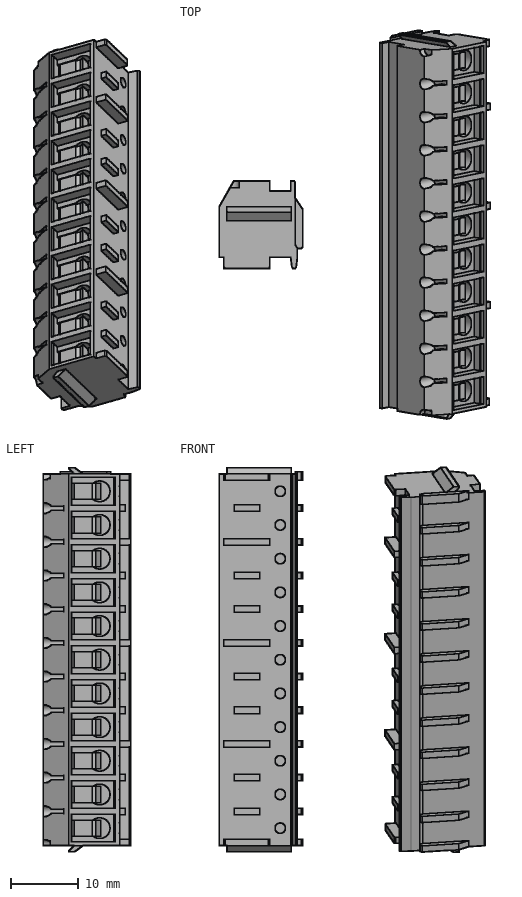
import cadquery as cq


total_height = 57.0
depth = 13.0
width = 12.4
hook_height = 0.9
body_bottom = hook_height
body_top = total_height - hook_height

pole_count = 11
pole_row_length = 50.0
pitch = pole_row_length / (pole_count - 1)
mid_height = total_height / 2
pole_heights = [mid_height + (i - (pole_count - 1) / 2) * pitch for i in range(pole_count)]
joint_heights = [z + pitch / 2 for z in pole_heights[:-1]]

front_y = 1.65
slope_start_y = 9.2
slope_end_x = 2.15
block_x = 7.5
back_notch_y = 11.5
flange_x = 10.6
flange_back_x = 11.3
flange_foot_x = 11.6
flange_step_y = 2.95
flange_bend_y = 3.55
foot_bevel_y = 0.2
foot_bevel_x = (10.8, 11.45)
foot_tip_x = (10.95, 11.3)
flange_corner = 0.15

rib_thickness = 0.95
long_rib_x = (0.7, block_x)
long_rib_interval = 3
short_rib_x = (2.2, 6.05)
short_rib_projection = 0.85
end_rib_chamfer = 0.2
tab_slope_y = (8.8, 10.5)
tab_chamfer = 0.2
top_tab_rise = 0.35

test_hole_x = 9.05
test_hole_diameter = 1.55
test_hole_depth = 1.7

window_height = 4.1
window_y = (2.3, 8.85)
window_inner_y = (2.5, 8.8)
window_step_depth = 0.55
window_depth = 1.7
wire_hole_y = 4.6
wire_hole_diameter = 3.1
cavity_floor_x = 3.4
clamp_height = 2.4
clamp_inset = 0.1
clamp_tip_y = 4.45
clamp_valley_y = 5.2
clamp_bend_y = 5.7
clamp_flat_y = 8.4
clamp_face_x = window_depth + clamp_inset
clamp_valley_x = 2.15

bore_x = 2.2
bore_diameter = 1.6
bore_floor_y = 9.9
end_bore_floor_y = 11.95
slot_width = 0.6

hook_x = (1.15, 10.7)
hook_root_y = (7.05, 8.45)
hook_tip_y = (8.3, 9.2)
hook_tip_thickness = 0.15


def box(x, y, z):
    """Box spanning the given (low, high) limits on each axis."""
    return cq.Workplane("XY").box(
        x[1] - x[0], y[1] - y[0], z[1] - z[0], centered=False
    ).translate((x[0], y[0], z[0]))


def plate(points, z):
    """Closed XY outline extruded between the two Z limits."""
    return cq.Workplane("XY").polyline(points).close().extrude(z[1] - z[0]).translate((0, 0, z[0]))


def band(center, thickness):
    return (center - thickness / 2, center + thickness / 2)


def make_body():
    outline = [
        (0, front_y),
        (flange_x, front_y),
        (foot_bevel_x[0], foot_bevel_y),
        (foot_tip_x[0], 0),
        (foot_tip_x[1], 0),
        (foot_bevel_x[1], foot_bevel_y),
        (flange_foot_x, front_y),
        (flange_foot_x, flange_step_y),
        (flange_back_x, flange_bend_y),
        (flange_back_x, depth - flange_corner),
        (flange_back_x - flange_corner, depth),
        (flange_x, depth),
        (flange_x, back_notch_y),
        (block_x, back_notch_y),
        (block_x, depth),
        (slope_end_x, depth),
        (0, slope_start_y),
    ]
    return plate(outline, (body_bottom, body_top))


def make_tab(z):
    outline = [
        (flange_foot_x, flange_step_y),
        (width - tab_chamfer, flange_step_y),
        (width, flange_step_y + tab_chamfer),
        (width, tab_slope_y[0]),
        (flange_back_x, tab_slope_y[1]),
        (flange_back_x, flange_bend_y),
    ]
    return plate(outline, z)


def make_end_rib(z):
    rib = box(long_rib_x, (0, front_y), z)
    return rib.edges("|Z and <Y").chamfer(end_rib_chamfer)


def make_joint_rib(joint):
    """Every third joint carries a long rib, the others a short one."""
    z = band(joint_heights[joint], rib_thickness)
    if (joint + 1) % long_rib_interval == 0:
        return box(long_rib_x, (0, front_y), z)
    return box(short_rib_x, (front_y - short_rib_projection, front_y), z)


def make_hook():
    """Upper hook, leaning towards the back."""
    profile = [
        (hook_root_y[0], body_top),
        (hook_tip_y[0], total_height),
        (hook_tip_y[1], total_height),
        (hook_tip_y[1], total_height - hook_tip_thickness),
        (hook_root_y[1], body_top),
    ]
    hook = cq.Workplane("YZ").polyline(profile).close().extrude(hook_x[1] - hook_x[0])
    return hook.translate((hook_x[0], 0, 0))


def make_wire_entry(z):
    """Stepped window with a wire hole and a clamp recess, to be cut from the body."""
    window = box((0, window_step_depth), window_y, band(z, window_height))
    window = window.union(box((0, window_depth), window_inner_y, band(z, window_height)))
    wire_hole = (
        cq.Workplane("YZ")
        .center(wire_hole_y, z)
        .circle(wire_hole_diameter / 2)
        .extrude(cavity_floor_x)
    )
    clamp_recess = box((0, cavity_floor_x), (clamp_tip_y, window_inner_y[1]), band(z, clamp_height))
    clamp_outline = [
        (cavity_floor_x, clamp_tip_y),
        (window_depth, clamp_tip_y),
        (clamp_valley_x, clamp_valley_y),
        (clamp_face_x, clamp_bend_y),
        (clamp_face_x, clamp_flat_y),
        (clamp_valley_x, window_inner_y[1]),
        (cavity_floor_x, window_inner_y[1]),
    ]
    clamp = plate(clamp_outline, band(z, clamp_height))
    return window.union(wire_hole).union(clamp_recess).cut(clamp)


def make_test_hole(z):
    hole = cq.Workplane("XZ").center(test_hole_x, z).circle(test_hole_diameter / 2).extrude(-test_hole_depth)
    return hole.translate((0, front_y, 0))


def make_bore(z, floor_y):
    """Round bore sunk from the back face, partly broken open by the sloped face."""
    bore = cq.Workplane("XZ").center(bore_x, z).circle(bore_diameter / 2)
    return bore.extrude(floor_y - depth).translate((0, floor_y, 0))


def make_slotted_bore(z):
    """Deep bore with a narrow slot that joins it to the sloped face."""
    slot = box((0, bore_x), (bore_floor_y, depth), band(z, slot_width))
    return make_bore(z, bore_floor_y).union(slot)


body = make_body()
top_end = (body_top - rib_thickness, body_top)
bottom_end = (body_bottom, body_bottom + rib_thickness)

for end in (bottom_end, top_end):
    body = body.union(make_end_rib(end))
body = body.union(make_tab(bottom_end))
body = body.union(make_tab((top_end[0], body_top + top_tab_rise)))
for joint, joint_z in enumerate(joint_heights):
    body = body.union(make_joint_rib(joint))
    body = body.union(make_tab(band(joint_z, rib_thickness)))

upper_hook = make_hook()
lower_hook = upper_hook.mirror("XY", (0, 0, mid_height))
body = body.union(upper_hook).union(lower_hook)

for pole_z in pole_heights:
    body = body.cut(make_wire_entry(pole_z)).cut(make_test_hole(pole_z))

for joint_z in joint_heights:
    body = body.cut(make_slotted_bore(joint_z))
for edge_z in (pole_heights[0] - pitch / 2, pole_heights[-1] + pitch / 2):
    body = body.cut(make_bore(edge_z, end_bore_floor_y))

result = body